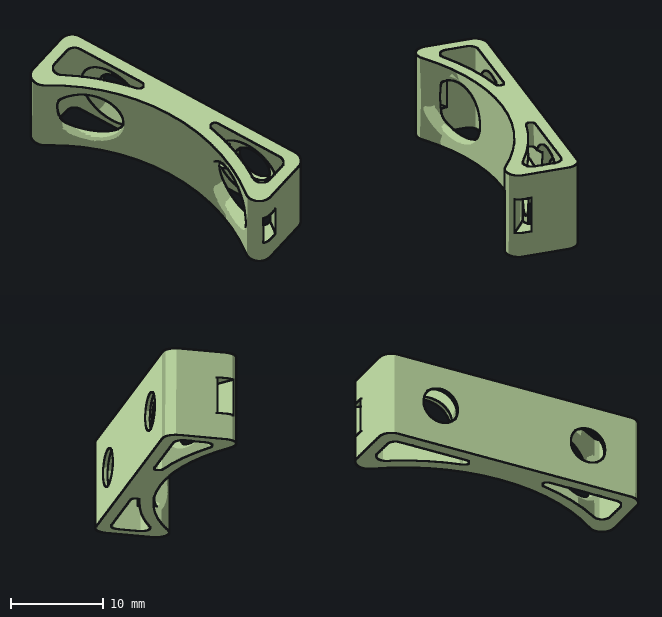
import cadquery as cq
import math

length = 31.47
depth = 8.22
height = 10.0
wall = 1.5
saddle_radius = 22.2

pocket_corner_radius = 1.0
pocket_tip_radius = 0.5

screw_spacing = 18.0
screw_hole_radius = 2.1
driver_taper = 15.0
countersink_radius = 4.0
countersink_small_radius = 2.25
countersink_depth = 0.95
rim_fillet = 0.65

slot_height = 4.1
slot_thickness = 1.6
slot_offset = 0.05

half_length = length / 2
corner_radius = wall
corner_x = half_length - corner_radius
back_corner_y = depth - corner_radius
mid_height = height / 2
screw_x = screw_spacing / 2
end_wall_x = half_length - wall
back_wall_y = depth - wall
inner_radius = saddle_radius + wall
saddle_center_y = corner_radius - math.sqrt((saddle_radius + corner_radius) ** 2 - corner_x ** 2)


def point_on_circle(center, radius, angle):
    """Point on a circle at an angle in degrees from +X."""
    turn = math.radians(angle)
    return (center[0] + radius * math.cos(turn), center[1] + radius * math.sin(turn))


def concentric_point(radius, x):
    """Point at the given x on the +Y half of a circle concentric with the saddle."""
    return (x, saddle_center_y + math.sqrt(radius ** 2 - x ** 2))


def saddle_angle(point):
    """Angle in degrees of a point as seen from the saddle centre."""
    return math.degrees(math.atan2(point[1] - saddle_center_y, point[0]))


def add_corner(outline, center, radius, start_angle, end_angle):
    """Continue an outline with a corner arc that starts at its current point."""
    middle = point_on_circle(center, radius, (start_angle + end_angle) / 2)
    return outline.threePointArc(middle, point_on_circle(center, radius, end_angle))


def make_body():
    """Block with four rounded corners and a saddle tangent to the front ones."""
    front_left = (-corner_x, corner_radius)
    front_right = (corner_x, corner_radius)
    back_left = (-corner_x, back_corner_y)
    back_right = (corner_x, back_corner_y)
    right_tangent_angle = saddle_angle(front_right) - 180
    left_tangent_angle = saddle_angle(front_left) - 180
    saddle_left = point_on_circle(front_left, corner_radius, left_tangent_angle)
    saddle_top = (0, saddle_center_y + saddle_radius)

    outline = cq.Workplane("XY").moveTo(-half_length, corner_radius).lineTo(-half_length, back_corner_y)
    outline = add_corner(outline, back_left, corner_radius, 180, 90).lineTo(corner_x, depth)
    outline = add_corner(outline, back_right, corner_radius, 90, 0).lineTo(half_length, corner_radius)
    outline = add_corner(outline, front_right, corner_radius, 0, right_tangent_angle)
    outline = outline.threePointArc(saddle_top, saddle_left)
    outline = add_corner(outline, front_left, corner_radius, left_tangent_angle, -180)
    return outline.close().extrude(height)


def make_pocket():
    """Right-hand pocket between the back wall, end wall and curved wall."""
    corner_center_x = end_wall_x - pocket_corner_radius
    back_center = (corner_center_x, back_wall_y - pocket_corner_radius)
    front_center = concentric_point(inner_radius + pocket_corner_radius, corner_center_x)
    tip_y = back_wall_y - pocket_tip_radius
    tip_x = math.sqrt((inner_radius + pocket_tip_radius) ** 2 - (tip_y - saddle_center_y) ** 2)
    tip_center = (tip_x, tip_y)

    front_angle = saddle_angle(front_center)
    tip_angle = saddle_angle(tip_center)
    saddle_center = (0, saddle_center_y)

    outline = cq.Workplane("XY").moveTo(tip_x, back_wall_y).lineTo(corner_center_x, back_wall_y)
    outline = add_corner(outline, back_center, pocket_corner_radius, 90, 0)
    outline = outline.lineTo(end_wall_x, front_center[1])
    outline = add_corner(outline, front_center, pocket_corner_radius, 0, front_angle - 180)
    outline = add_corner(outline, saddle_center, inner_radius, front_angle, tip_angle)
    outline = add_corner(outline, tip_center, pocket_tip_radius, tip_angle + 180, 90)
    return outline.close().extrude(height)


def cone_toward_front(x, back_y, back_radius, front_y, front_radius):
    """Cone on a screw axis, which runs along Y at mid height."""
    start = cq.Vector(x, back_y, mid_height)
    toward_front = cq.Vector(0, -1, 0)
    return cq.Solid.makeCone(back_radius, front_radius, back_y - front_y, start, toward_front)


def make_driver_hole(x):
    """Taper through both walls, widening from the back face to the front."""
    front_radius = screw_hole_radius + depth * math.tan(math.radians(driver_taper))
    return cone_toward_front(x, depth, screw_hole_radius, 0, front_radius)


def make_countersink(x):
    """Seat for the screw head, sunk into the inner face of the back wall."""
    seat_y = back_wall_y + countersink_depth
    return cone_toward_front(x, seat_y, countersink_small_radius, back_wall_y, countersink_radius)


def fillet_rim(body, x, surface_radius):
    """Round the driver hole at x where it meets a curved wall surface."""
    tolerance = 0.01
    sample_positions = (0.13, 0.37, 0.71)

    def is_rim(edge):
        points = [edge.positionAt(position) for position in sample_positions]
        return all(
            abs(math.hypot(p.x, p.y - saddle_center_y) - surface_radius) < tolerance
            and abs(p.x - x) < screw_x
            and tolerance < p.z < height - tolerance
            for p in points
        )

    rim = [edge for edge in body.edges().vals() if edge.geomType() != "LINE" and is_rim(edge)]
    return body.newObject(rim).fillet(rim_fillet)


def make_strap_slot():
    """Curved passage concentric with the saddle, running from end face to end face."""
    slot_radius = inner_radius + slot_offset
    slot_bottom = mid_height - slot_height / 2
    return (
        cq.Workplane("XY", origin=(0, saddle_center_y, slot_bottom))
        .circle(slot_radius + slot_thickness)
        .circle(slot_radius)
        .extrude(slot_height)
    )


pocket = make_pocket()
result = make_body().cut(pocket).cut(pocket.mirror("YZ"))

for hole_x in (-screw_x, screw_x):
    result = result.cut(make_driver_hole(hole_x))
    result = fillet_rim(result, hole_x, saddle_radius)

result = fillet_rim(result, -screw_x, inner_radius)

for hole_x in (-screw_x, screw_x):
    result = result.cut(make_countersink(hole_x))

result = cq.Workplane(obj=result.cut(make_strap_slot()).solids().val())